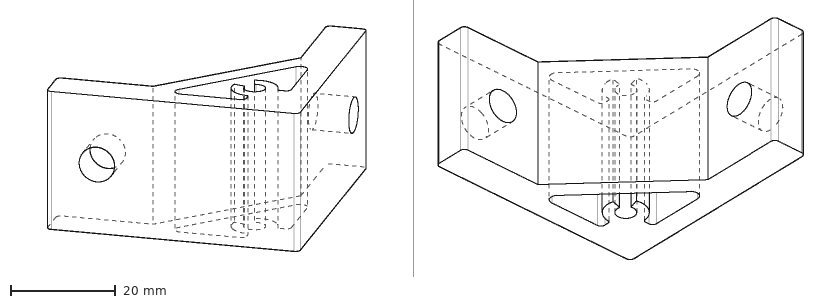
import cadquery as cq
import math

leg_length = 50.0
leg_thickness = 8.0
width = 28.0
outer_corner_radius = 1.0

rib_start = 31.0
rib_thickness = 4.0

window_wall = 5.0
window_tip_radius = 1.5
window_end_radius = 1.0

clip_offset = 12.0
clip_outer_radius = 4.5
clip_bore_radius = 2.1
clip_mouth_angle = 60.0
clip_root_radius = 0.5
clip_lip_radius = 0.25

hole_diameter = 7.0
hole_end_distance = 10.0

diagonal_angle = 135.0
rib_outer_sum = rib_start + leg_thickness
rib_inner_sum = rib_outer_sum - rib_thickness * math.sqrt(2)
hole_position = leg_length - hole_end_distance


def make_body():
    outline = [
        (0, 0),
        (0, leg_length),
        (-leg_thickness, leg_length),
        (-leg_thickness, rib_start),
        (-rib_start, leg_thickness),
        (-leg_length, leg_thickness),
        (-leg_length, 0),
    ]
    body = cq.Workplane("XY").polyline(outline).close().extrude(width)
    sharp_corners = [
        (0, 0),
        (0, leg_length),
        (-leg_thickness, leg_length),
        (-leg_length, leg_thickness),
        (-leg_length, 0),
    ]
    return round_edges(body, sharp_corners, outer_corner_radius)


def round_edges(solid, corners, radius):
    """Round the upright edges that stand at the given (x, y) corners."""
    for x, y in corners:
        edge = cq.selectors.NearestToPointSelector((x, y, width / 2))
        solid = solid.edges("|Z").edges(edge).fillet(radius)
    return solid


def polar_point(radius, angle):
    """Point at the given radius and angle in degrees."""
    radians = math.radians(angle)
    return radius * math.cos(radians), radius * math.sin(radians)


def make_clip_opening():
    """Bore of the clip together with its wedge-shaped mouth facing the rib."""
    clip_plane = cq.Workplane("XY").center(-clip_offset, clip_offset)
    bore = clip_plane.circle(clip_bore_radius).extrude(width)

    half_mouth = clip_mouth_angle / 2
    first_lip = diagonal_angle - half_mouth
    last_lip = diagonal_angle + half_mouth
    mouth = (
        clip_plane.lineTo(*polar_point(clip_outer_radius, first_lip))
        .threePointArc(
            polar_point(clip_outer_radius, diagonal_angle),
            polar_point(clip_outer_radius, last_lip),
        )
        .close()
        .extrude(width)
    )
    lip_corners = []
    for angle in (first_lip, last_lip):
        x, y = polar_point(clip_bore_radius, angle)
        lip_corners.append((x - clip_offset, y + clip_offset))
    return round_edges(bore.union(mouth), lip_corners, clip_lip_radius)


def make_window():
    """Space removed between the rib and the legs, leaving the clip standing."""
    tip = rib_inner_sum - window_wall
    tip_corners = [(-window_wall, tip), (-tip, window_wall)]
    triangle = [(-window_wall, window_wall)] + tip_corners
    window = cq.Workplane("XY").polyline(triangle).close().extrude(width)
    window = round_edges(window, tip_corners, window_tip_radius)

    block = cq.Workplane("XY").rect(-clip_offset, clip_offset, centered=False).extrude(width)
    ring = cq.Workplane("XY").center(-clip_offset, clip_offset).circle(clip_outer_radius).extrude(width)
    window = window.cut(block.union(ring))

    clip_edge = clip_offset - clip_outer_radius
    root_corners = [(-clip_edge, clip_offset), (-clip_offset, clip_edge)]
    end_corners = [(-window_wall, clip_offset), (-clip_offset, window_wall)]
    window = round_edges(window, root_corners, clip_root_radius)
    window = round_edges(window, end_corners, window_end_radius)
    return window.union(make_clip_opening())


def make_holes():
    """One hole through each leg, centred across the width."""
    radius = hole_diameter / 2
    x_leg_hole = cq.Solid.makeCylinder(
        radius, leg_thickness, cq.Vector(-hole_position, 0, width / 2), cq.Vector(0, 1, 0)
    )
    y_leg_hole = cq.Solid.makeCylinder(
        radius, leg_thickness, cq.Vector(0, hole_position, width / 2), cq.Vector(-1, 0, 0)
    )
    return cq.Workplane(x_leg_hole).add(y_leg_hole).combine()


result = make_body().cut(make_window()).cut(make_holes())